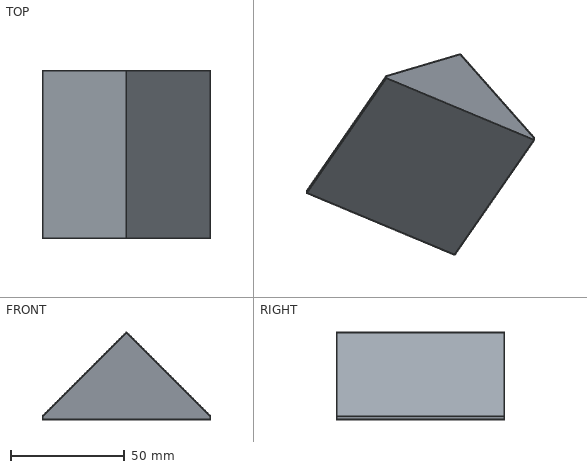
import cadquery as cq

side = 74.2
base_thickness = 1.5
roof_height = side / 2

base = cq.Workplane("XY").box(side, side, base_thickness, centered=(True, True, False))

prism = (
    cq.Workplane("XZ")
    .moveTo(-side / 2, base_thickness)
    .lineTo(side / 2, base_thickness)
    .lineTo(0, base_thickness + roof_height)
    .close()
    .extrude(side / 2, both=True)
)

result = base.union(prism)